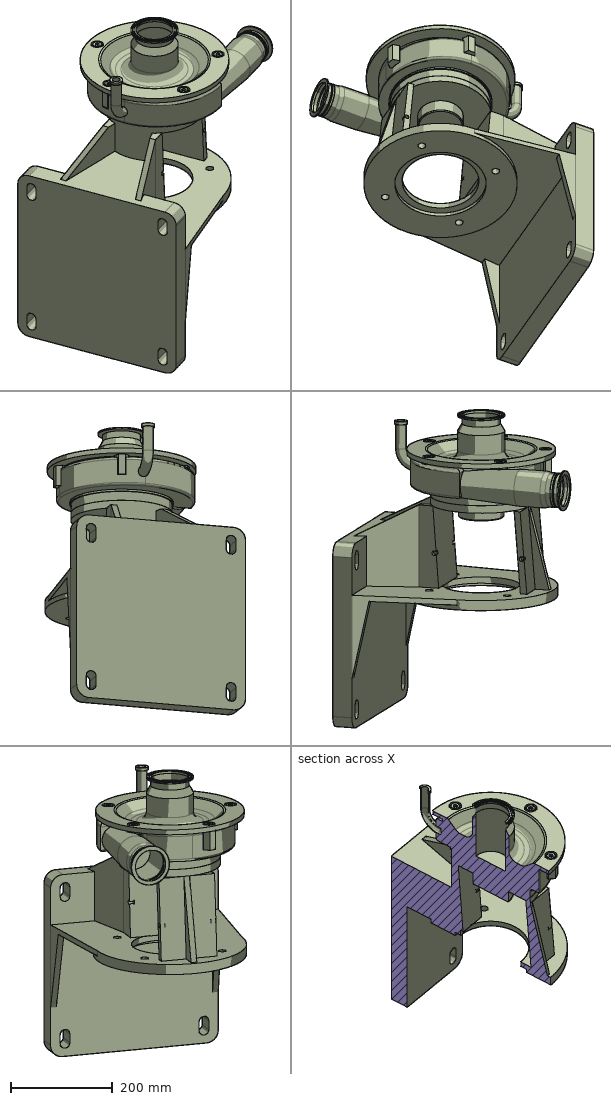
import cadquery as cq
import math


WALL_WIDTH = 350.0
WALL_HEIGHT = 372.0
WALL_THICK = 40.0
WALL_TOP = 100.5
WALL_BACK_Y = -210.0
WALL_CORNER_R = 25.0
WALL_MID_Z = WALL_TOP - WALL_HEIGHT / 2
SLOT_WIDTH = 20.0
SLOT_LENGTH = 38.0
SLOT_INSET_X = 30.0
SLOT_INSET_Z = 36.0

SHELF_THICK = 11.0
SHELF_RING_R = 151.0
SHELF_RING_THICK = 20.5
SHELF_BORE_R = 75.5
REGISTER_R = 90.0
REGISTER_DEPTH = 8.0
SHELF_HOLE_D = 15.0
SHELF_HOLE_OFFSET = 81.0
GUSSET_REACH = 34.0
GUSSET_THICK = 12.0
GUSSET_BOTTOM = -168.0

SEAT_R = 100.0
SEAT_BOTTOM = 165.0
SEAT_TOP = 180.0
LEG_HALF_WIDTH = 58.0
FRONT_LEG_INNER_TOP = -81.0
FRONT_LEG_INNER_FOOT = -69.0
BACK_LEG_INNER_TOP = 87.5
BACK_LEG_INNER_FOOT = 100.5
BACK_LEG_OUTER_TOP = 100.0
BACK_LEG_OUTER_FOOT = 114.0
BACK_RIB_FOOT = 143.0
RIB_THICK = 12.0
RIB_START_Y = -110.0
RIB_END_Y = -234.0
RIB_END_X = 89.0
TIE_HOLE_D = 9.0
TIE_HOLE_DEPTH = 10.0
TIE_HOLE_Z = 70.0
TIE_HOLE_YS = (-78.0, 103.0)

SHAFT_END_R = 45.0
SHAFT_END_BOTTOM = 137.5
SHAFT_END_CHAMFER = 2.0
HUB_R = 99.5
HUB_RIM_R = 102.0
HUB_RIM_BOTTOM = 198.0
CASING_BOTTOM = 202.0
CASING_TOP = 260.0
CASING_TOP_FILLET = 6.5
CASING_BOTTOM_FILLET = 4.5
VOLUTE_R = 126.0
VOLUTE_STEP = 8.0
FLANGE_R = 146.5
FLANGE_BOTTOM = 264.0
FLANGE_TOP = 274.0
COVER_R = 122.0

DISH_FLOOR = 251.5
DISH_LIP_R = 110.0
DISH_RIM_R = 106.0
DISH_LIP_DROP = 1.5
DISH_CONE_FOOT_R = 88.0
DISH_CONE_FOOT_Z = 256.0
DISH_FLOOR_R = 77.0
INLET_R = 46.5
INLET_FILLET_R = 19.5
INLET_CONE_FOOT = 310.0
INLET_CONE_TOP = 325.0
INLET_NECK_R = 38.0
INLET_TOP = 343.0
INLET_FERRULE_R = 46.5
INLET_BORE_R = 36.5
INLET_BORE_FLOOR = 215.0
SEAL_GROOVE_R = 42.0
SEAL_GROOVE_WIDTH = 3.0
SEAL_GROOVE_DEPTH = 1.5
FERRULE_RIM = 3.0
FERRULE_TAPER = 2.0

OUTLET_X = 114.5
OUTLET_Z = 226.0
OUTLET_R = 36.5
OUTLET_ROOT_R = 28.0
OUTLET_CONE_END_Y = 118.0
OUTLET_TUBE_END_Y = 172.0
OUTLET_NECK_START_Y = 182.0
OUTLET_NECK_R = 34.2
OUTLET_GROOVE_R = 33.0
OUTLET_GROOVE_START_Y = 192.0
OUTLET_GROOVE_END_Y = 196.5
OUTLET_BEAD_END_Y = 199.0
OUTLET_END_Y = 211.0
OUTLET_FERRULE_R = 39.5
OUTLET_BORE_R = 31.5

DRAIN_R = 10.5
DRAIN_BORE_R = 7.5
DRAIN_Y = -166.5
DRAIN_BEND_R = 34.0
DRAIN_BEND_TOP = 264.0
DRAIN_TOP = 319.0
DRAIN_COLLAR_R = 12.7
DRAIN_COLLAR_HEIGHT = 6.0

HEX_SIDES = 6
BOLT_COUNT = 5
BOLT_CIRCLE_R = 126.5
BOLT_START_ANGLE = 180.0
NUT_FLATS_D = 24.0
NUT_BOTTOM = 223.0
COUNTERBORE_D = 24.0
COUNTERBORE_DEPTH = 6.0
BOLT_HEAD_D = 17.0
BOLT_SOCKET_D = 8.0
BOLT_SOCKET_DEPTH = 4.0


def disc(radius, bottom, top, x=0.0, y=0.0):
    return cq.Workplane("XY", origin=(x, y, bottom)).circle(radius).extrude(top - bottom)


def side_profile(points, half_width):
    """Plate with a (Y, Z) outline, centred on X = 0."""
    outline = cq.Workplane("YZ").polyline(points).close()
    return outline.extrude(half_width, both=True)


def wall_plate():
    plate = (
        cq.Workplane("XZ", origin=(0, WALL_BACK_Y, WALL_MID_Z))
        .rect(WALL_WIDTH, WALL_HEIGHT)
        .extrude(WALL_THICK)
        .edges("|Y")
        .fillet(WALL_CORNER_R)
    )
    slots = (
        cq.Workplane("XZ", origin=(0, WALL_BACK_Y, WALL_MID_Z))
        .rect(WALL_WIDTH - 2 * SLOT_INSET_X, WALL_HEIGHT - 2 * SLOT_INSET_Z, forConstruction=True)
        .vertices()
        .slot2D(SLOT_LENGTH, SLOT_WIDTH, 90)
        .extrude(WALL_THICK)
    )
    return plate.cut(slots)


def shelf_plan(inset=0.0):
    """Trapezoid from the wall width to the ring diameter, its sides moved in along X by inset."""
    wall_x = WALL_WIDTH / 2 - inset
    ring_x = SHELF_RING_R - inset
    points = [
        (-wall_x, WALL_BACK_Y),
        (wall_x, WALL_BACK_Y),
        (ring_x, 0),
        (-ring_x, 0),
    ]
    return cq.Workplane("XY").polyline(points).close()


def shelf():
    """Shelf with a thicker motor ring, a bore with a register below it, and four bolt holes."""
    body = shelf_plan().extrude(-SHELF_THICK)
    body = body.union(disc(SHELF_RING_R, -SHELF_RING_THICK, 0))
    body = body.cut(disc(SHELF_BORE_R, -SHELF_RING_THICK, 0))
    body = body.cut(disc(REGISTER_R, -SHELF_RING_THICK, REGISTER_DEPTH - SHELF_RING_THICK))
    holes = (
        cq.Workplane("XY")
        .rect(2 * SHELF_HOLE_OFFSET, 2 * SHELF_HOLE_OFFSET, forConstruction=True)
        .vertices()
        .circle(SHELF_HOLE_D / 2)
        .extrude(-SHELF_RING_THICK)
    )
    return body.cut(holes)


def shelf_gussets():
    """Triangular stiffeners under the two sloping sides of the shelf."""
    wedge = side_profile(
        [
            (WALL_BACK_Y, 0),
            (WALL_BACK_Y + GUSSET_REACH, -SHELF_THICK),
            (WALL_BACK_Y, GUSSET_BOTTOM),
        ],
        WALL_WIDTH / 2,
    )
    sides = shelf_plan().extrude(GUSSET_BOTTOM).cut(shelf_plan(GUSSET_THICK).extrude(GUSSET_BOTTOM))
    return wedge.intersect(sides)


def front_leg():
    """Leg next to the wall: flat inside and round outside between the ribs."""
    leg = side_profile(
        [
            (FRONT_LEG_INNER_FOOT, 0),
            (FRONT_LEG_INNER_TOP, SEAT_BOTTOM),
            (RIB_START_Y, SEAT_BOTTOM),
            (RIB_START_Y, 0),
        ],
        LEG_HALF_WIDTH,
    )
    return leg.intersect(disc(SEAT_R, 0, SEAT_BOTTOM))


def leg_block():
    """Block between the ribs that joins the leg to the wall, level with the wall top."""
    front_x = rib_side_x(FRONT_LEG_INNER_TOP)
    wall_x = rib_side_x(WALL_BACK_Y)
    points = [
        (-front_x, FRONT_LEG_INNER_TOP),
        (front_x, FRONT_LEG_INNER_TOP),
        (front_x, RIB_START_Y),
        (wall_x, WALL_BACK_Y),
        (-wall_x, WALL_BACK_Y),
        (-front_x, RIB_START_Y),
    ]
    return cq.Workplane("XY").polyline(points).close().extrude(WALL_TOP)


def rib_side_x(y):
    """Half width across the outer faces of the ribs: level along the leg, then splayed."""
    fraction = max(0, (y - RIB_START_Y) / (RIB_END_Y - RIB_START_Y))
    return LEG_HALF_WIDTH + fraction * (RIB_END_X - LEG_HALF_WIDTH)


def front_ribs():
    """Two splayed ribs that fall from the seat to the top of the wall plate."""
    slope = side_profile(
        [
            (FRONT_LEG_INNER_TOP, 0),
            (FRONT_LEG_INNER_TOP, SEAT_BOTTOM),
            (RIB_START_Y, SEAT_BOTTOM),
            (RIB_END_Y, WALL_TOP),
            (RIB_END_Y, 0),
        ],
        WALL_WIDTH / 2,
    )
    splay = math.atan2(RIB_END_X - LEG_HALF_WIDTH, RIB_START_Y - RIB_END_Y)
    width = RIB_THICK / math.cos(splay)
    inner_front_x = LEG_HALF_WIDTH - width + (RIB_START_Y - FRONT_LEG_INNER_TOP) * math.tan(splay)
    ribs = cq.Workplane("XY")
    for side in (-1, 1):
        points = [
            (side * LEG_HALF_WIDTH, FRONT_LEG_INNER_TOP),
            (side * LEG_HALF_WIDTH, RIB_START_Y),
            (side * RIB_END_X, RIB_END_Y),
            (side * (RIB_END_X - width), RIB_END_Y),
            (side * (LEG_HALF_WIDTH - width), RIB_START_Y),
            (side * inner_front_x, FRONT_LEG_INNER_TOP),
        ]
        ribs = ribs.union(cq.Workplane("XY").polyline(points).close().extrude(SEAT_BOTTOM))
    return ribs.intersect(slope)


def back_leg():
    leg = side_profile(
        [
            (BACK_LEG_INNER_FOOT, 0),
            (BACK_LEG_INNER_TOP, SEAT_BOTTOM),
            (BACK_LEG_OUTER_TOP, SEAT_BOTTOM),
            (BACK_LEG_OUTER_FOOT, 0),
        ],
        LEG_HALF_WIDTH,
    )
    rib = side_profile(
        [
            (BACK_LEG_INNER_FOOT, 0),
            (BACK_LEG_OUTER_TOP, SEAT_BOTTOM),
            (BACK_RIB_FOOT, 0),
        ],
        RIB_THICK / 2,
    )
    return leg.union(rib)


def tie_holes():
    """Small blind holes in the side faces of both legs."""
    holes = cq.Workplane("XY")
    for y in TIE_HOLE_YS:
        for side in (-1, 1):
            start = cq.Vector(side * LEG_HALF_WIDTH, y, TIE_HOLE_Z)
            hole = cq.Solid.makeCylinder(TIE_HOLE_D / 2, TIE_HOLE_DEPTH, start, cq.Vector(-side, 0, 0))
            holes = holes.union(cq.Workplane(hole))
    return holes


def bracket():
    body = wall_plate().union(shelf()).union(shelf_gussets())
    body = body.union(front_leg()).union(leg_block()).union(front_ribs()).union(back_leg())
    body = body.cut(tie_holes())
    return body.union(disc(SEAT_R, SEAT_BOTTOM, SEAT_TOP))


def volute():
    """Casing whose radius grows by quarter arcs centred on the corners of a small square."""
    half = VOLUTE_STEP / 2
    diagonal = math.sqrt(0.5)
    centres = [(-half, -half), (half, -half), (half, half)]
    outline = cq.Workplane("XY", origin=(0, 0, CASING_BOTTOM)).moveTo(-half, VOLUTE_R - half)
    for turn, (cx, cy) in enumerate(centres):
        radius = VOLUTE_R + turn * VOLUTE_STEP
        end_angle = math.radians(180 + 90 * turn)
        mid_angle = end_angle - math.pi / 4
        middle = (cx + radius * math.cos(mid_angle), cy + radius * math.sin(mid_angle))
        end = (cx + radius * math.cos(end_angle), cy + radius * math.sin(end_angle))
        outline = outline.threePointArc(middle, end)
    last_r = VOLUTE_R - half
    outline = outline.lineTo(last_r, half)
    outline = outline.threePointArc((last_r * diagonal, last_r * diagonal), (-half, last_r))
    casing = outline.close().extrude(CASING_TOP - CASING_BOTTOM)
    casing = casing.faces(">Z").edges().fillet(CASING_TOP_FILLET)
    return casing.faces("<Z").edges().fillet(CASING_BOTTOM_FILLET)


def inlet():
    """Turned cover: flange, dish and suction tube around one bore."""
    fillet_mid = INLET_FILLET_R * (1 - math.sqrt(0.5))
    neck_top = INLET_TOP - FERRULE_RIM - FERRULE_TAPER
    profile = (
        cq.Workplane("XZ")
        .moveTo(0, CASING_BOTTOM)
        .lineTo(COVER_R, CASING_BOTTOM)
        .lineTo(COVER_R, FLANGE_BOTTOM)
        .lineTo(FLANGE_R, FLANGE_BOTTOM)
        .lineTo(FLANGE_R, FLANGE_TOP)
        .lineTo(DISH_LIP_R, FLANGE_TOP)
        .lineTo(DISH_RIM_R, FLANGE_TOP - DISH_LIP_DROP)
        .lineTo(DISH_CONE_FOOT_R, DISH_CONE_FOOT_Z)
        .tangentArcPoint((DISH_FLOOR_R, DISH_FLOOR), relative=False)
        .lineTo(INLET_R + INLET_FILLET_R, DISH_FLOOR)
        .threePointArc(
            (INLET_R + fillet_mid, DISH_FLOOR + fillet_mid),
            (INLET_R, DISH_FLOOR + INLET_FILLET_R),
        )
        .lineTo(INLET_R, INLET_CONE_FOOT)
        .lineTo(INLET_NECK_R, INLET_CONE_TOP)
        .lineTo(INLET_NECK_R, neck_top)
        .lineTo(INLET_FERRULE_R, INLET_TOP - FERRULE_RIM)
        .lineTo(INLET_FERRULE_R, INLET_TOP)
        .lineTo(0, INLET_TOP)
        .close()
    )
    return profile.revolve(360, (0, 0, 0), (0, 1, 0))


def outlet():
    """Discharge: widening cone, straight tube, reduced neck and ferrule along +Y."""
    neck_end = OUTLET_END_Y - FERRULE_RIM - FERRULE_TAPER
    profile = (
        cq.Workplane("XY", origin=(OUTLET_X, 0, OUTLET_Z))
        .lineTo(OUTLET_ROOT_R, 0)
        .lineTo(OUTLET_R, OUTLET_CONE_END_Y)
        .lineTo(OUTLET_R, OUTLET_TUBE_END_Y)
        .lineTo(OUTLET_NECK_R, OUTLET_NECK_START_Y)
        .lineTo(OUTLET_NECK_R, OUTLET_GROOVE_START_Y)
        .lineTo(OUTLET_GROOVE_R, OUTLET_GROOVE_START_Y)
        .lineTo(OUTLET_GROOVE_R, OUTLET_GROOVE_END_Y)
        .lineTo(OUTLET_NECK_R, OUTLET_GROOVE_END_Y)
        .lineTo(OUTLET_NECK_R, OUTLET_BEAD_END_Y)
        .lineTo(OUTLET_GROOVE_R, OUTLET_BEAD_END_Y)
        .lineTo(OUTLET_GROOVE_R, neck_end)
        .lineTo(OUTLET_FERRULE_R, OUTLET_END_Y - FERRULE_RIM)
        .lineTo(OUTLET_FERRULE_R, OUTLET_END_Y)
        .lineTo(0, OUTLET_END_Y)
        .close()
    )
    return profile.revolve(360, (0, 0, 0), (0, 1, 0))


def outlet_bore():
    plane = cq.Workplane("XZ", origin=(OUTLET_X, OUTLET_END_Y, OUTLET_Z))
    return plane.circle(OUTLET_BORE_R).extrude(OUTLET_END_Y - OUTLET_CONE_END_Y)


def drain_path():
    bend_y = DRAIN_Y + DRAIN_BEND_R
    bend_z = DRAIN_BEND_TOP - DRAIN_BEND_R
    diagonal = DRAIN_BEND_R * math.sqrt(0.5)
    return (
        cq.Workplane("YZ")
        .moveTo(DRAIN_Y, DRAIN_TOP)
        .lineTo(DRAIN_Y, DRAIN_BEND_TOP)
        .threePointArc((bend_y - diagonal, DRAIN_BEND_TOP - diagonal), (bend_y, bend_z))
        .lineTo(-VOLUTE_R, bend_z)
    )


def drain_sweep(radius):
    return cq.Workplane("XY", origin=(0, DRAIN_Y, DRAIN_TOP)).circle(radius).sweep(drain_path())


def drain_pipe():
    collar = disc(DRAIN_COLLAR_R, DRAIN_TOP - DRAIN_COLLAR_HEIGHT, DRAIN_TOP, 0, DRAIN_Y)
    return drain_sweep(DRAIN_R).union(collar)


def bolt_positions():
    return cq.Workplane("XY").polarArray(BOLT_CIRCLE_R, BOLT_START_ANGLE, 360, BOLT_COUNT)


def bolt_nuts():
    """Hexagonal nuts with a flat facing away from the pump axis."""
    corner_r = NUT_FLATS_D / 2 / math.cos(math.pi / HEX_SIDES)
    corners = []
    for index in range(HEX_SIDES + 1):
        angle = math.pi / HEX_SIDES * (2 * index + 1)
        corners.append((corner_r * math.cos(angle), corner_r * math.sin(angle)))
    hexagon = cq.Sketch().polygon(corners)
    nuts = bolt_positions().placeSketch(hexagon).extrude(FLANGE_BOTTOM - NUT_BOTTOM)
    return nuts.translate((0, 0, NUT_BOTTOM))


def bolt_recesses():
    """Annular gap around each bolt head and the hexagonal socket in it."""
    gap = bolt_positions().circle(COUNTERBORE_D / 2).extrude(-COUNTERBORE_DEPTH)
    gap = gap.cut(bolt_positions().circle(BOLT_HEAD_D / 2).extrude(-COUNTERBORE_DEPTH))
    socket = bolt_positions().polygon(HEX_SIDES, BOLT_SOCKET_D).extrude(-BOLT_SOCKET_DEPTH)
    return gap.union(socket).translate((0, 0, FLANGE_TOP))


def seal_groove():
    """Ring groove in the end face of the inlet ferrule."""
    bottom = INLET_TOP - SEAL_GROOVE_DEPTH
    groove = disc(SEAL_GROOVE_R + SEAL_GROOVE_WIDTH / 2, bottom, INLET_TOP)
    return groove.cut(disc(SEAL_GROOVE_R - SEAL_GROOVE_WIDTH / 2, bottom, INLET_TOP))


def hub():
    body = disc(HUB_R, SEAT_TOP, CASING_BOTTOM).union(disc(HUB_RIM_R, HUB_RIM_BOTTOM, CASING_BOTTOM))
    shaft_end = disc(SHAFT_END_R, SHAFT_END_BOTTOM, SEAT_BOTTOM)
    return body.union(shaft_end.faces("<Z").chamfer(SHAFT_END_CHAMFER))


def pump():
    casing = volute().union(outlet()).union(bolt_nuts()).union(drain_pipe())
    casing = casing.cut(disc(COVER_R, CASING_BOTTOM, FLANGE_TOP))
    body = casing.union(inlet()).union(hub())
    body = body.cut(bolt_recesses()).cut(drain_sweep(DRAIN_BORE_R)).cut(outlet_bore())
    return body.cut(disc(INLET_BORE_R, INLET_BORE_FLOOR, INLET_TOP)).cut(seal_groove())


result = bracket().union(pump())